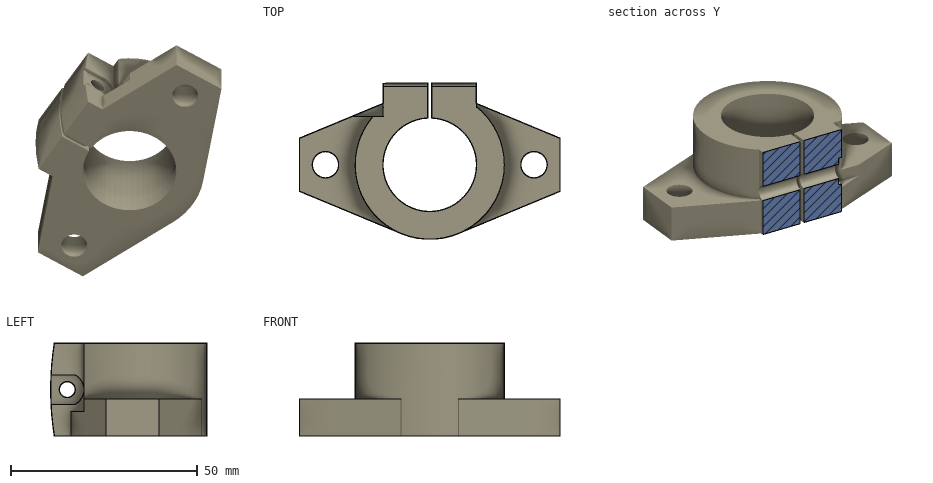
import cadquery as cq
import math

body_radius = 20.0
bore_radius = 12.5
body_height = 25.0
slit_width = 1.05

flange_length = 70.0
flange_end_half_width = 7.15
flange_height = 10.0
mount_hole_spacing = 56.0
mount_hole_diameter = 7.0

lug_half_width = bore_radius
lug_crown_y = 22.0
lug_edge_y = 21.0

screw_y = 17.5
screw_z = body_height / 2
screw_hole_diameter = 4.2
recess_radius = 4.5
recess_width = 7.9
recess_depth = 0.85
clearance_floor_z = 6.65


def make_flange():
    half_length = flange_length / 2
    corner_distance = math.hypot(half_length, flange_end_half_width)
    corner_angle = math.atan2(flange_end_half_width, half_length)
    tangent_angle = corner_angle + math.acos(body_radius / corner_distance)
    tangent_x = body_radius * math.cos(tangent_angle)
    tangent_y = body_radius * math.sin(tangent_angle)
    return (
        cq.Workplane("XY")
        .moveTo(half_length, -flange_end_half_width)
        .lineTo(half_length, flange_end_half_width)
        .lineTo(tangent_x, tangent_y)
        .threePointArc((0, body_radius), (-tangent_x, tangent_y))
        .lineTo(-half_length, flange_end_half_width)
        .lineTo(-half_length, -flange_end_half_width)
        .lineTo(-tangent_x, -tangent_y)
        .threePointArc((0, -body_radius), (tangent_x, -tangent_y))
        .close()
        .extrude(flange_height)
    )


def make_lugs():
    """Block with a crowned +Y face; the slit later divides it in two."""
    return (
        cq.Workplane("YZ")
        .moveTo(0, 0)
        .lineTo(lug_edge_y, 0)
        .threePointArc((lug_crown_y, body_height / 2), (lug_edge_y, body_height))
        .lineTo(0, body_height)
        .close()
        .extrude(lug_half_width, both=True)
    )


def make_head_clearance():
    """Open space beside the -X lug that gives access to the screw head."""
    return cq.Workplane("XY").box(
        flange_length / 2 - lug_half_width,
        lug_crown_y,
        body_height - clearance_floor_z,
        centered=False,
    ).translate((-flange_length / 2, screw_y - recess_radius, clearance_floor_z))


def make_head_recess():
    """Round-ended recess in the -X lug face, open toward +Y."""
    lug_face = cq.Workplane("YZ", origin=(-lug_half_width, screw_y, screw_z))
    half_width = recess_width / 2
    shoulder_y = -math.sqrt(recess_radius**2 - half_width**2)
    return (
        lug_face.moveTo(shoulder_y, -half_width)
        .threePointArc((-recess_radius, 0), (shoulder_y, half_width))
        .lineTo(lug_crown_y - screw_y, half_width)
        .lineTo(lug_crown_y - screw_y, -half_width)
        .close()
        .extrude(recess_depth)
    )


ring = cq.Workplane("XY").circle(body_radius).extrude(body_height)
bore = cq.Workplane("XY").circle(bore_radius).extrude(body_height)
slit = cq.Workplane("XY").box(slit_width, lug_crown_y, body_height, centered=(True, False, False))
mount_holes = (
    cq.Workplane("XY")
    .pushPoints([(-mount_hole_spacing / 2, 0), (mount_hole_spacing / 2, 0)])
    .circle(mount_hole_diameter / 2)
    .extrude(flange_height)
)
screw_hole = (
    cq.Workplane("YZ", origin=(0, screw_y, screw_z))
    .circle(screw_hole_diameter / 2)
    .extrude(flange_length / 2, both=True)
)

result = (
    ring.union(make_flange())
    .union(make_lugs())
    .cut(make_head_clearance())
    .cut(make_head_recess())
    .cut(bore)
    .cut(slit)
    .cut(mount_holes)
    .cut(screw_hole)
)